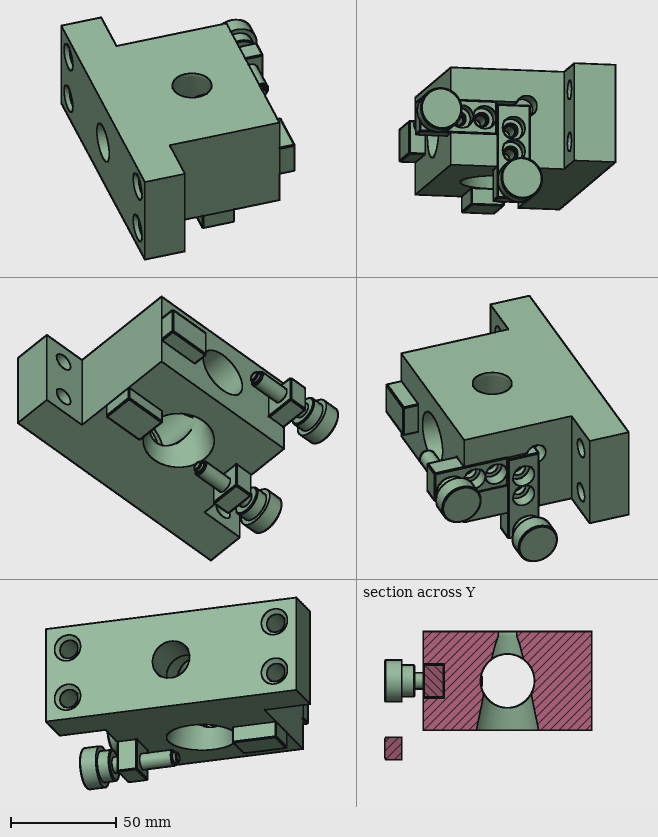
import cadquery as cq
import math


BASE_WIDTH = 126.0
BASE_DEPTH = 20.0
BODY_WIDTH = 80.0
BLOCK_DEPTH = 75.0
BLOCK_HEIGHT = 47.0
BORE_DIAMETER = 18.6
VERTICAL_BORE_Y = 44.5
TOP_LIP_THICKNESS = 1.8
FLARE_ANGLE = 9.5
REAR_COUNTERBORE_DIAMETER = 25.5
REAR_COUNTERBORE_DEPTH = BLOCK_DEPTH - BASE_DEPTH
MID_HEIGHT = BLOCK_HEIGHT / 2
LEFT_FACE_X = -BODY_WIDTH / 2
RIGHT_FACE_X = BODY_WIDTH / 2

MOUNT_SPACING_X = 104.1
MOUNT_SPACING_Z = 25.1
MOUNT_DIAMETER = 9.1
MOUNT_SINK_DIAMETER = 13.1
MOUNT_SINK_ANGLE = 90.0

BRACKET_THICKNESS = 10.0
BRACKET_WIDTH = 16.0
BRACKET_OVERHANG = 15.1
BRACKET_GAP = 0.3
EDGE_CHAMFER = 0.5
LOWER_BRACKET_INSET = 30.1
POCKET_TOP_Z = MID_HEIGHT + BRACKET_WIDTH / 2
POCKET_FRONT_Y = VERTICAL_BORE_Y - BRACKET_WIDTH / 2
REAR_BRACKET_INSET = BLOCK_DEPTH - (VERTICAL_BORE_Y + BRACKET_WIDTH / 2) - BRACKET_GAP

RELIEF_DIAMETER = 9.8
RELIEF_INSET = 1.6

BOLT_SPACING = 11.1
REAR_FIRST_BOLT = 5.3
LOWER_FIRST_BOLT = 7.8
BOLT_HEAD_DIAMETER = 11.0
BOLT_HEAD_DEPTH = 6.5
BOLT_CLEARANCE_DIAMETER = 6.8
BOLT_CORE_DIAMETER = 5.3
BOLT_CORE_DEPTH = 12.0
DRILL_POINT_ANGLE = 118.0

SCREW_OFFSET = 8.6
KNOB_DIAMETER = 19.9
KNOB_LENGTH = 8.2
COLLAR_DIAMETER = 15.1
COLLAR_LENGTH = 6.0
SHAFT_DIAMETER = 7.8
SHAFT_LENGTH = 30.0
TIP_DIAMETER = 5.0
TIP_LENGTH = 2.0
SCREW_CHAMFER = 0.5
COLLAR_STANDOFF = 4.0

STOP_LENGTH = 22.0
STOP_HEIGHT = 7.8
STOP_WIDTH = BRACKET_WIDTH

REAR_BOLTS = [
    (BLOCK_DEPTH - REAR_FIRST_BOLT - i * BOLT_SPACING, MID_HEIGHT) for i in range(2)
]
LOWER_BOLTS = [(VERTICAL_BORE_Y, LOWER_FIRST_BOLT + i * BOLT_SPACING) for i in range(2)]
REAR_SCREW = (BLOCK_DEPTH + SCREW_OFFSET, MID_HEIGHT)
LOWER_SCREW = (VERTICAL_BORE_Y, -SCREW_OFFSET)


def box_between(low, high):
    """Box given by its lowest and highest corner."""
    sizes = [b - a for a, b in zip(low, high)]
    return cq.Workplane("XY").box(*sizes, centered=False).translate(low)


def rod_along_x(x_start, points, diameter, length):
    """Parallel rods at (y, z) points, running from x_start towards +X."""
    return cq.Workplane("YZ", origin=(x_start, 0, 0)).pushPoints(points).circle(diameter / 2).extrude(length)


def make_bracket_pocket():
    """Recess for both brackets, with a round relief in its upper front corner."""
    floor_x = LEFT_FACE_X + BRACKET_THICKNESS
    rear_slot = box_between(
        (LEFT_FACE_X, POCKET_FRONT_Y, POCKET_TOP_Z - BRACKET_WIDTH),
        (floor_x, BLOCK_DEPTH, POCKET_TOP_Z),
    )
    lower_slot = box_between(
        (LEFT_FACE_X, POCKET_FRONT_Y, 0),
        (floor_x, POCKET_FRONT_Y + BRACKET_WIDTH, POCKET_TOP_Z),
    )
    relief_center = (POCKET_FRONT_Y + RELIEF_INSET, POCKET_TOP_Z - RELIEF_INSET)
    relief = rod_along_x(LEFT_FACE_X, [relief_center], RELIEF_DIAMETER, BRACKET_THICKNESS)
    return rear_slot.union(lower_slot).union(relief)


def make_bolt_core(y, z):
    """Blind drilled hole with a conical end, starting at the pocket floor."""
    radius = BOLT_CORE_DIAMETER / 2
    point_length = radius / math.tan(math.radians(DRILL_POINT_ANGLE / 2))
    floor_x = LEFT_FACE_X + BRACKET_THICKNESS
    return (
        cq.Workplane("XY")
        .polyline([(0, 0), (0, radius), (BOLT_CORE_DEPTH, radius), (BOLT_CORE_DEPTH + point_length, 0)])
        .close()
        .revolve(360, (0, 0, 0), (1, 0, 0))
        .translate((floor_x, y, z))
    )


def make_vertical_bore():
    """Bore through the height, straight in a thin lip at the top and flaring towards the underside."""
    flare_height = BLOCK_HEIGHT - TOP_LIP_THICKNESS
    bore_radius = BORE_DIAMETER / 2
    flare_radius = bore_radius + flare_height * math.tan(math.radians(FLARE_ANGLE))
    return (
        cq.Workplane("XZ")
        .polyline([
            (0, 0),
            (flare_radius, 0),
            (bore_radius, flare_height),
            (bore_radius, BLOCK_HEIGHT),
            (0, BLOCK_HEIGHT),
        ])
        .close()
        .revolve(360, (0, 0, 0), (0, 1, 0))
        .translate((0, VERTICAL_BORE_Y, 0))
    )


def make_front_bore():
    """Bore through the depth at mid height, counterbored from the rear face."""
    bore = cq.Workplane("XZ", origin=(0, 0, MID_HEIGHT)).circle(BORE_DIAMETER / 2).extrude(-BLOCK_DEPTH)
    rear_plane = cq.Workplane("XZ", origin=(0, BLOCK_DEPTH, MID_HEIGHT))
    counterbore = rear_plane.circle(REAR_COUNTERBORE_DIAMETER / 2).extrude(REAR_COUNTERBORE_DEPTH)
    return bore.union(counterbore)


def make_block():
    """T-shaped block with two crossing bores, mounting holes and the bracket pocket."""
    base = box_between((-BASE_WIDTH / 2, 0, 0), (BASE_WIDTH / 2, BASE_DEPTH, BLOCK_HEIGHT))
    body = box_between((LEFT_FACE_X, 0, 0), (RIGHT_FACE_X, BLOCK_DEPTH, BLOCK_HEIGHT))
    front_plane = cq.Workplane("XZ", origin=(0, 0, MID_HEIGHT))
    block = base.union(body).cut(make_vertical_bore()).cut(make_front_bore())
    block = (
        block.copyWorkplane(front_plane)
        .rarray(MOUNT_SPACING_X, MOUNT_SPACING_Z, 2, 2)
        .cskHole(MOUNT_DIAMETER, MOUNT_SINK_DIAMETER, MOUNT_SINK_ANGLE, BASE_DEPTH)
    )
    block = block.cut(make_bracket_pocket())
    for y, z in REAR_BOLTS + LOWER_BOLTS:
        block = block.cut(make_bolt_core(y, z))
    return block


def make_bracket(bar, bolts, screw):
    """Chamfered bar with counterbored bolt holes and one hole for its thumbscrew."""
    return (
        bar.edges().chamfer(EDGE_CHAMFER)
        .cut(rod_along_x(LEFT_FACE_X, bolts, BOLT_CLEARANCE_DIAMETER, BRACKET_THICKNESS))
        .cut(rod_along_x(LEFT_FACE_X, bolts, BOLT_HEAD_DIAMETER, BOLT_HEAD_DEPTH))
        .cut(rod_along_x(LEFT_FACE_X, [screw], SHAFT_DIAMETER, BRACKET_THICKNESS))
    )


def make_rear_bracket():
    """Horizontal bracket reaching past the rear face of the block."""
    bar = box_between(
        (LEFT_FACE_X, BLOCK_DEPTH - REAR_BRACKET_INSET, POCKET_TOP_Z - BRACKET_WIDTH),
        (LEFT_FACE_X + BRACKET_THICKNESS, BLOCK_DEPTH + BRACKET_OVERHANG, POCKET_TOP_Z),
    )
    return make_bracket(bar, REAR_BOLTS, REAR_SCREW)


def make_lower_bracket():
    """Upright bracket reaching past the underside of the block."""
    bar = box_between(
        (LEFT_FACE_X, POCKET_FRONT_Y, -BRACKET_OVERHANG),
        (LEFT_FACE_X + BRACKET_THICKNESS, POCKET_FRONT_Y + BRACKET_WIDTH, LOWER_BRACKET_INSET),
    )
    return make_bracket(bar, LOWER_BOLTS, LOWER_SCREW)


def make_thumbscrew(y, z):
    """Knob, collar, shaft and reduced tip turned about one axis along X."""
    collar_end_x = LEFT_FACE_X - COLLAR_STANDOFF
    knob_end_x = collar_end_x - COLLAR_LENGTH
    knob_start_x = knob_end_x - KNOB_LENGTH
    shaft_end_x = collar_end_x + SHAFT_LENGTH
    axis = [(y, z)]
    knob = rod_along_x(knob_start_x, axis, KNOB_DIAMETER, KNOB_LENGTH).edges("<X").chamfer(SCREW_CHAMFER)
    collar = rod_along_x(knob_end_x, axis, COLLAR_DIAMETER, COLLAR_LENGTH).edges(">X").chamfer(SCREW_CHAMFER)
    shaft = rod_along_x(collar_end_x, axis, SHAFT_DIAMETER, SHAFT_LENGTH).edges(">X").chamfer(SCREW_CHAMFER)
    tip = rod_along_x(shaft_end_x, axis, TIP_DIAMETER, TIP_LENGTH).edges(">X").chamfer(SCREW_CHAMFER)
    return knob.union(collar).union(shaft).union(tip)


def make_stop(low, high, contact_side):
    """Block-shaped stop with every edge chamfered except those of its contact face."""
    stop = box_between(low, high)
    return stop.edges(f"not({contact_side})").chamfer(EDGE_CHAMFER)


def make_rear_stop():
    low_z = MID_HEIGHT - STOP_WIDTH / 2
    return make_stop(
        (RIGHT_FACE_X - STOP_LENGTH, BLOCK_DEPTH, low_z),
        (RIGHT_FACE_X, BLOCK_DEPTH + STOP_HEIGHT, low_z + STOP_WIDTH),
        "<Y",
    )


def make_lower_stop():
    low_y = VERTICAL_BORE_Y - STOP_WIDTH / 2
    return make_stop(
        (RIGHT_FACE_X - STOP_LENGTH, low_y, -STOP_HEIGHT),
        (RIGHT_FACE_X, low_y + STOP_WIDTH, 0),
        ">Z",
    )


block = make_block()
rear_bracket = make_rear_bracket()
lower_bracket = make_lower_bracket()
thumbscrews = [make_thumbscrew(y, z) for y, z in (REAR_SCREW, LOWER_SCREW)]
rear_stop = make_rear_stop()
lower_stop = make_lower_stop()

result = cq.Compound.makeCompound([
    block.val(),
    rear_bracket.val(),
    lower_bracket.val(),
    *[screw.val() for screw in thumbscrews],
    rear_stop.val(),
    lower_stop.val(),
])